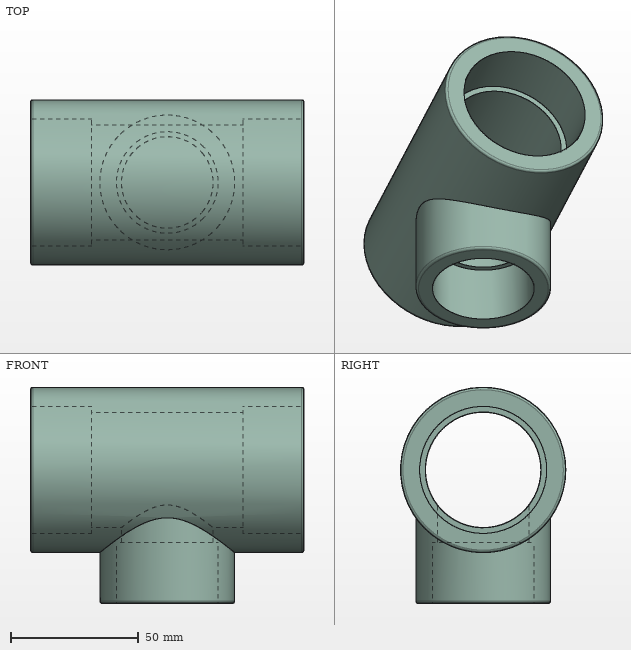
import cadquery as cq

run_length = 107.5
run_diameter = 65.0
run_socket_diameter = 50.0
run_bore_diameter = 45.4

overall_height = 85.0
branch_diameter = 53.0
branch_socket_diameter = 40.0
branch_bore_diameter = 36.0

socket_depth = 24.0
edge_radius = 1.0

run_end = run_length / 2
branch_end = overall_height - run_diameter / 2

def run_cylinder(diameter, start, length):
    """Cylinder along +X, beginning at x = start."""
    return cq.Workplane("YZ", origin=(start, 0, 0)).circle(diameter / 2).extrude(length)

def branch_cylinder(diameter, length):
    """Cylinder rising from the mouth of the branch."""
    return cq.Workplane("XY", origin=(0, 0, -branch_end)).circle(diameter / 2).extrude(length)

run = run_cylinder(run_diameter, -run_end, run_length).faces("<X or >X").edges().fillet(edge_radius)
branch = branch_cylinder(branch_diameter, branch_end).faces("<Z").edges().fillet(edge_radius)
result = run.union(branch)

result = result.cut(run_cylinder(run_bore_diameter, -run_end, run_length))
result = result.cut(branch_cylinder(branch_bore_diameter, branch_end))

for socket_start in (-run_end, run_end - socket_depth):
    result = result.cut(run_cylinder(run_socket_diameter, socket_start, socket_depth))
result = result.cut(branch_cylinder(branch_socket_diameter, socket_depth))